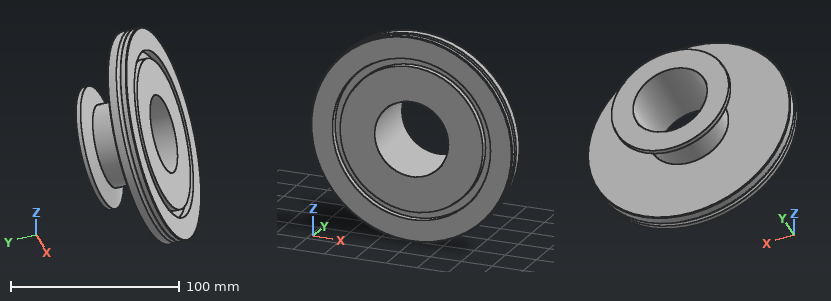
import cadquery as cq
import math

total_length = 42.0
bore_diameter = 47.5

disc_diameter = 130.0
disc_thickness = 12.0
rim_chamfer = 0.5

rim_groove_radius = 1.3
rim_groove_position = 5.0

recess_inner_diameter = 92.2
recess_outer_diameter = 102.0
recess_depth = 4.0

tube_diameter = 50.8
clamp_diameter = 75.0
clamp_rim_thickness = 3.0
clamp_cone_angle = 15.0


def cylinder(diameter, start, length):
    """Cylinder along +Y, beginning at Y = start."""
    plane = cq.Workplane("XZ", origin=(0, start, 0))
    return plane.circle(diameter / 2).extrude(-length)


def make_disc():
    disc = cylinder(disc_diameter, 0, disc_thickness).edges().chamfer(rim_chamfer)
    rim_groove = cq.Workplane("XY").add(
        cq.Solid.makeTorus(
            disc_diameter / 2,
            rim_groove_radius,
            cq.Vector(0, rim_groove_position, 0),
            cq.Vector(0, 1, 0),
        )
    )
    recess = cylinder(recess_outer_diameter, 0, recess_depth).cut(
        cylinder(recess_inner_diameter, 0, recess_depth)
    )
    return disc.cut(rim_groove).cut(recess)


def make_clamp_flange():
    tube_radius = tube_diameter / 2
    clamp_radius = clamp_diameter / 2
    rim_start = total_length - clamp_rim_thickness
    cone_length = (clamp_radius - tube_radius) * math.tan(math.radians(clamp_cone_angle))
    half_section = (
        cq.Workplane("XY")
        .moveTo(0, rim_start - cone_length)
        .lineTo(tube_radius, rim_start - cone_length)
        .lineTo(clamp_radius, rim_start)
        .lineTo(clamp_radius, total_length)
        .lineTo(0, total_length)
        .close()
    )
    return half_section.revolve(360, (0, 0, 0), (0, 1, 0))


tube = cylinder(tube_diameter, disc_thickness / 2, total_length - disc_thickness)
bore = cylinder(bore_diameter, 0, total_length)

result = make_disc().union(tube).union(make_clamp_flange()).cut(bore)